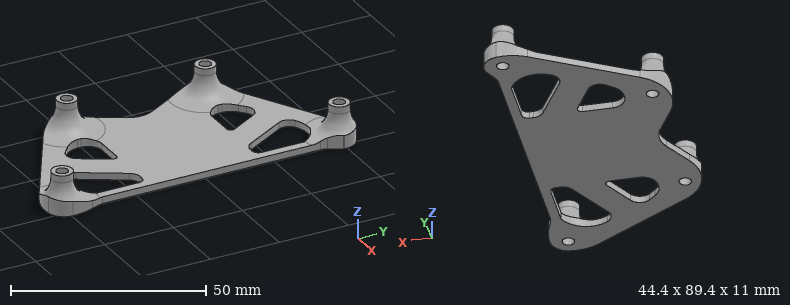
import cadquery as cq
import math

PLATE_THICKNESS = 2.0
TOTAL_HEIGHT = 11.0

HEXAGON_CENTER_X = 17.27
HEXAGON_RADIUS = 40.31
STANDOFF_TURN = 0.21
STANDOFF_ANGLES = (90, 150, 210, 270)
STANDOFF_DIAMETER = 5.8
BORE_DIAMETER = 3.2
FLARE_RADIUS = 7.0

RIGHT_EDGE_X = 19.8
SLANT_ANGLE = 30.0
SLANT_OFFSET = 32.3
NOTCH_X = -14.02
NOTCH_ANGLE = 120.0
NOTCH_ROUND_RADIUS = 7.5
SHOULDER_RADIUS = 12.1
CROWN_RADIUS = 12.2
TIP_RADIUS = 4.92
TIP_CENTER = (HEXAGON_CENTER_X, 39.7)

UPPER_FLANK_ANGLE = 63.0
UPPER_FLANK_FOOT_Y = 34.4
UPPER_FLANK_BLEND = 4.0
LOWER_FLANK_KNEE = (20.95, 33.3)
LOWER_FLANK_FOOT_Y = 29.9

WINDOW_BASE_Y = 16.03
WINDOW_SLANT_ANGLE = 120.0
LARGE_SLANT_OFFSET = 18.8
LARGE_RIGHT_X = 17.11
LARGE_ARC_CENTER = (9.9, 27.06)
LARGE_ARC_RADIUS = 7.8
LARGE_TOP_ROUND = 3.1
LARGE_BASE_ROUND = 3.3
LARGE_RIGHT_ROUND = 1.7
SMALL_SLANT_OFFSET = 10.97
SMALL_LEFT_X = -10.37
SMALL_ROOF_ANGLE = 41.0
SMALL_ROOF_OFFSET = 24.4
SMALL_APEX_ROUND = 3.2
SMALL_EAVE_ROUND = 5.0
SMALL_HEEL_ROUND = 4.0
SMALL_TOE_ROUND = 1.1


def polar(center, radius, angle):
    """Point at a radius and an angle in degrees around a center."""
    turn = math.radians(angle)
    return center[0] + radius * math.cos(turn), center[1] + radius * math.sin(turn)


def crossing(angle_a, offset_a, angle_b, offset_b):
    """Crossing of two lines, each given by its direction and its offset to the left of the origin."""
    a, b = math.radians(angle_a), math.radians(angle_b)
    scale = math.sin(b - a)
    x = (offset_a * math.cos(b) - offset_b * math.cos(a)) / scale
    y = (offset_a * math.sin(b) - offset_b * math.sin(a)) / scale
    return x, y


def far_crossing(start, angle, center, radius):
    """Last point where a line, leaving a start point at an angle, crosses a circle."""
    turn = math.radians(angle)
    dx, dy = start[0] - center[0], start[1] - center[1]
    along = dx * math.cos(turn) + dy * math.sin(turn)
    travel = -along + math.sqrt(along ** 2 - dx ** 2 - dy ** 2 + radius ** 2)
    return polar(start, travel, angle)


def round_corners(prism, corners):
    """Fillet the upright edge at each (point, radius) of a prism."""
    for (x, y), radius in corners:
        edge = cq.selectors.NearestToPointSelector((x, y, TOTAL_HEIGHT / 2))
        prism = prism.edges("|Z").edges(edge).fillet(radius)
    return prism


def crown_center():
    """Center of the arc that touches the slanted edge and wraps the tip arc."""
    slant = math.radians(SLANT_ANGLE)
    tip_along = TIP_CENTER[0] * math.cos(slant) + TIP_CENTER[1] * math.sin(slant)
    tip_across = TIP_CENTER[1] * math.cos(slant) - TIP_CENTER[0] * math.sin(slant)
    across = SLANT_OFFSET - CROWN_RADIUS
    along = tip_along - math.sqrt((CROWN_RADIUS - TIP_RADIUS) ** 2 - (tip_across - across) ** 2)
    return (
        along * math.cos(slant) - across * math.sin(slant),
        along * math.sin(slant) + across * math.cos(slant),
    )


def half_outline(flank_start_angle):
    """Open half outline from the right edge past the notch and around the tip, and its shoulder corner."""
    notch_offset = -NOTCH_X * math.sin(math.radians(NOTCH_ANGLE))
    shoulder = crossing(NOTCH_ANGLE, notch_offset, SLANT_ANGLE, SLANT_OFFSET)
    crown = crown_center()
    crown_start = SLANT_ANGLE + 90
    crown_end = math.degrees(math.atan2(TIP_CENTER[1] - crown[1], TIP_CENTER[0] - crown[0]))
    outline = (
        cq.Workplane("XY")
        .moveTo(RIGHT_EDGE_X, 0)
        .lineTo(NOTCH_X, 0)
        .lineTo(*shoulder)
        .lineTo(*polar(crown, CROWN_RADIUS, crown_start))
        .threePointArc(
            polar(crown, CROWN_RADIUS, (crown_start + crown_end) / 2),
            polar(crown, CROWN_RADIUS, crown_end),
        )
        .threePointArc(
            polar(TIP_CENTER, TIP_RADIUS, (crown_end + flank_start_angle) / 2),
            polar(TIP_CENTER, TIP_RADIUS, flank_start_angle),
        )
    )
    return outline, shoulder


def upper_half():
    """Upper half prism, whose tip has a straight flank."""
    foot = (RIGHT_EDGE_X, UPPER_FLANK_FOOT_Y)
    top = far_crossing(foot, UPPER_FLANK_ANGLE, TIP_CENTER, TIP_RADIUS)
    start = math.degrees(math.atan2(top[1] - TIP_CENTER[1], top[0] - TIP_CENTER[0]))
    outline, shoulder = half_outline(start)
    prism = outline.lineTo(*foot).close().extrude(TOTAL_HEIGHT)
    return round_corners(prism, [(shoulder, SHOULDER_RADIUS), (foot, UPPER_FLANK_BLEND)])


def lower_half():
    """Lower half prism, whose tip has a bulged flank; shaped above the X axis, then mirrored."""
    outline, shoulder = half_outline(0)
    foot = (RIGHT_EDGE_X, LOWER_FLANK_FOOT_Y)
    prism = (
        outline.tangentArcPoint(LOWER_FLANK_KNEE, relative=False)
        .tangentArcPoint(foot, relative=False)
        .close()
        .extrude(TOTAL_HEIGHT)
    )
    return round_corners(prism, [(shoulder, SHOULDER_RADIUS)]).mirror("XZ")


def outline_prism():
    """Full-height prism of the plate outline."""
    prism = upper_half().union(lower_half())
    return round_corners(prism, [((NOTCH_X, 0), NOTCH_ROUND_RADIUS)])


def standoff_points():
    center = (HEXAGON_CENTER_X, 0)
    return [polar(center, HEXAGON_RADIUS, angle + STANDOFF_TURN) for angle in STANDOFF_ANGLES]


def standoff():
    """Round post with a concave flare running out onto the plate."""
    radius = STANDOFF_DIAMETER / 2
    flare_top = PLATE_THICKNESS + FLARE_RADIUS
    flare_waist_angle = 225
    flare_center = (radius + FLARE_RADIUS, flare_top)
    return (
        cq.Workplane("XZ")
        .lineTo(radius + FLARE_RADIUS, 0)
        .lineTo(radius + FLARE_RADIUS, PLATE_THICKNESS)
        .threePointArc(polar(flare_center, FLARE_RADIUS, flare_waist_angle), (radius, flare_top))
        .lineTo(radius, TOTAL_HEIGHT)
        .lineTo(0, TOTAL_HEIGHT)
        .close()
        .revolve(360, (0, 0, 0), (0, 1, 0))
    )


def large_window():
    """Window by the tip: an arched roof over a slanted side, a base and an upright side."""
    base = crossing(0, WINDOW_BASE_Y, WINDOW_SLANT_ANGLE, -LARGE_SLANT_OFFSET)
    right = (LARGE_RIGHT_X, WINDOW_BASE_Y)
    roof_left = far_crossing(base, WINDOW_SLANT_ANGLE, LARGE_ARC_CENTER, LARGE_ARC_RADIUS)
    roof_right = far_crossing(right, 90, LARGE_ARC_CENTER, LARGE_ARC_RADIUS)
    prism = (
        cq.Workplane("XY")
        .moveTo(*base)
        .lineTo(*right)
        .lineTo(*roof_right)
        .threePointArc(polar(LARGE_ARC_CENTER, LARGE_ARC_RADIUS, 90), roof_left)
        .close()
        .extrude(TOTAL_HEIGHT)
    )
    rounds = [(roof_left, LARGE_TOP_ROUND), (base, LARGE_BASE_ROUND), (right, LARGE_RIGHT_ROUND)]
    return round_corners(prism, rounds)


def small_window():
    """Window by the shoulder: a rounded four-sided opening."""
    toe = crossing(0, WINDOW_BASE_Y, WINDOW_SLANT_ANGLE, -SMALL_SLANT_OFFSET)
    apex = crossing(SMALL_ROOF_ANGLE, SMALL_ROOF_OFFSET, WINDOW_SLANT_ANGLE, -SMALL_SLANT_OFFSET)
    eave = crossing(SMALL_ROOF_ANGLE, SMALL_ROOF_OFFSET, 90, -SMALL_LEFT_X)
    heel = (SMALL_LEFT_X, WINDOW_BASE_Y)
    prism = cq.Workplane("XY").polyline([toe, apex, eave, heel]).close().extrude(TOTAL_HEIGHT)
    rounds = [
        (toe, SMALL_TOE_ROUND),
        (apex, SMALL_APEX_ROUND),
        (eave, SMALL_EAVE_ROUND),
        (heel, SMALL_HEEL_ROUND),
    ]
    return round_corners(prism, rounds)


def build_part():
    """Plate with four flared standoffs, kept within the outline, then windows and bores cut through."""
    outline = outline_prism()
    part = outline.faces("<Z").wires().toPending().extrude(PLATE_THICKNESS, combine=False)
    post = standoff()
    points = standoff_points()
    for x, y in points:
        part = part.union(post.translate((x, y, 0)).intersect(outline))
    for window in (large_window(), small_window()):
        part = part.cut(window).cut(window.mirror("XZ"))
    bores = cq.Workplane("XY").pushPoints(points).circle(BORE_DIAMETER / 2).extrude(TOTAL_HEIGHT)
    return part.cut(bores)


result = build_part()